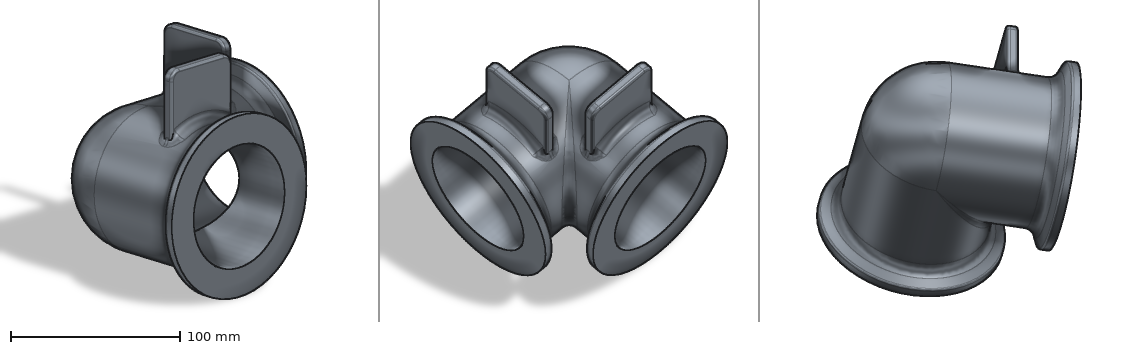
import cadquery as cq
import math

body_diameter = 90.42
bore_diameter = 76.2
leg_length = 76.2
body_radius = body_diameter / 2
bore_radius = bore_diameter / 2
leg_angles = (0, 90)

flange_diameter = 112.78
flange_radius = flange_diameter / 2
flange_rim_thickness = 5.5
flange_back_angle = 25
flange_root_radius = 7.94
flange_corner_radius = 1.6
cone_length = (flange_radius - body_radius) * math.tan(math.radians(flange_back_angle))
rim_start = leg_length - flange_rim_thickness
cone_start = rim_start - cone_length

crease_radius = 6.35

paddle_top = 82.55
paddle_width = 50.8
paddle_thickness = 6.86
paddle_offset = 41.275
paddle_corner_radius = 6.85
paddle_edge_radius = 1.72

foot_blend_radius = 6.35
foot_edge_radius = 2.4
foot_margin = 1.5 * foot_blend_radius
foot_top = body_radius + foot_margin

plate_sink = 3.7
plate_base = math.sqrt(body_radius**2 - (paddle_width / 2) ** 2) - plate_sink

selection_gap = 0.01


def on_each_leg(feature):
    """Combine copies of an X-leg feature placed on both legs."""
    combined = cq.Workplane("XY")
    for angle in leg_angles:
        combined = combined.add(feature.rotate((0, 0, 0), (0, 0, 1), angle))
    return combined.combine()


def ring_edge_at(x):
    """Selector for the circular edge of the X leg lying in the plane at x."""
    reach = flange_radius + selection_gap
    return cq.selectors.BoxSelector(
        (x - selection_gap, -reach, -reach), (x + selection_gap, reach, reach), boundingbox=True
    )


def flanged_leg():
    """Solid X leg with its flange, revolved about the X axis."""
    leg = (
        cq.Workplane("XY")
        .lineTo(0, body_radius)
        .lineTo(cone_start, body_radius)
        .lineTo(rim_start, flange_radius)
        .lineTo(leg_length, flange_radius)
        .lineTo(leg_length, 0)
        .close()
        .revolve(360, (0, 0, 0), (1, 0, 0))
    )
    leg = leg.edges(ring_edge_at(cone_start)).fillet(flange_root_radius)
    return leg.edges(ring_edge_at(rim_start)).fillet(flange_corner_radius)


def solid_elbow():
    """Both legs, the round outer corner and the blended inner crease."""
    elbow = on_each_leg(flanged_leg()).union(cq.Workplane("XY").sphere(body_radius))
    crease = elbow.edges("%ELLIPSE")
    return crease.fillet(crease_radius)


def plate(top):
    """Plain plate across the X leg, from inside the pipe wall up to the given height."""
    return (
        cq.Workplane("XY", origin=(paddle_offset, 0, plate_base))
        .rect(paddle_thickness, paddle_width)
        .extrude(top - plate_base)
    )


def paddle():
    """Plate with rounded top corners and rounded edges."""
    blank = plate(paddle_top).edges("|X and >Z").fillet(paddle_corner_radius)
    return blank.faces("<X or >X").edges("not <Z").fillet(paddle_edge_radius)


def foot_joint_edges():
    """Selector for the edges where the foot of the X-leg paddle meets the pipe."""
    half_thickness = paddle_thickness / 2 + selection_gap
    half_width = paddle_width / 2 + selection_gap
    return cq.selectors.BoxSelector(
        (paddle_offset - half_thickness, -half_width, plate_base),
        (paddle_offset + half_thickness, half_width, body_radius + selection_gap),
        boundingbox=True,
    )


def paddle_foot():
    """Short length of X-leg pipe carrying the blended foot of a paddle."""
    half_length = paddle_thickness / 2 + foot_margin
    pipe = (
        cq.Workplane("YZ", origin=(paddle_offset - half_length, 0, 0))
        .circle(body_radius)
        .extrude(2 * half_length)
    )
    foot = pipe.union(plate(foot_top).edges("|Z").fillet(foot_edge_radius))
    return foot.edges(foot_joint_edges()).fillet(foot_blend_radius)


def bore():
    """Passage through both legs, turning the corner on a sphere."""
    straight = cq.Workplane("YZ").circle(bore_radius).extrude(leg_length)
    return on_each_leg(straight).union(cq.Workplane("XY").sphere(bore_radius))


result = (
    solid_elbow()
    .union(on_each_leg(paddle_foot()))
    .union(on_each_leg(paddle()))
    .cut(bore())
)